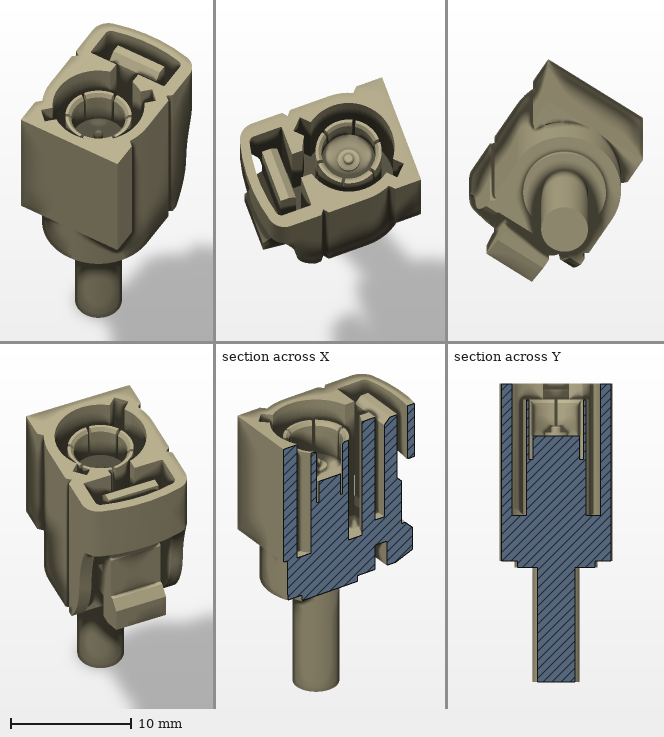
import cadquery as cq
import math

total_height = 24.78
flange_bottom = 9.52
housing_bottom = 10.05
front_block_bottom = 13.85
hood_bottom = 19.63
cavity_floor = front_block_bottom

width = 9.4
half_width = width / 2
hood_rear = 8.77
hood_arc_radius = 13.88
hood_corner_radius = 1.5
groove_y = 3.82
groove_half_opening = 0.35
groove_depth = 0.42
step_y = -1.98
block_side_end = -2.4
block_front = -half_width

hood_wall = 0.8
window_half_width = 3.6
window_front = 4.6
window_rear_corner_radius = 0.5
window_front_corner_radius = 0.12

relief_top = (7.35, hood_bottom)
relief_upper_middle = (6.65, 17.35)
relief_inflection = (6.32, 14.85)
relief_lower_middle = (5.8, 12.0)
relief_bottom = (4.7, housing_bottom)

latch_half_width = 2.25
latch_top = 24.28
latch_bevel = 0.6
latch_front_y = 5.5
latch_upper_rear_y = 6.85
latch_pad_rear_y = 7.29
latch_pad_top = 17.72
hook_ledge_y = 7.63
hook_ledge_z = 13.63
hook_rear_y = 8.4
hook_tip_z = 10.75
hook_bottom_rear_y = 6.67
latch_tail_front_y = 5.77
web_top = 14.87
web_bottom = 12.4

sleeve_diameter = 3.9
flange_radius = 3.45
bore_radius = 3.82
key_width = 1.3
key_reach = 4.75
key_angles = (45, 225)
latch_slot_width = 2.13

ring_outer_radius = 2.75
ring_lip_radius = 2.5
ring_inner_radius = 2.25
ring_top = 23.47
ring_bevel_height = 0.3
ring_slot_count = 6
ring_slot_width = 0.27
ring_slot_depth = 4.95
ring_slot_start_angle = 30

insulator_top = 20.5
collar_radius = 0.92
collar_height = 0.25
pin_radius = 0.4
pin_tip_radius = 0.3
pin_height = 0.75

clearance = 0.25


def arc_depth(radius, x):
    """Drop of an arc of the given radius at distance x from its crown."""
    return radius - math.sqrt(radius**2 - x**2)


def cylinder(radius, bottom, top):
    return cq.Workplane("XY").workplane(offset=bottom).circle(radius).extrude(top - bottom)


def make_housing():
    """Hooded body with a round front, plus the square block on the upper front."""
    step_x = math.sqrt(half_width**2 - step_y**2)
    hood_side_y = hood_rear - arc_depth(hood_arc_radius, half_width)
    body = (
        cq.Workplane("XY")
        .workplane(offset=housing_bottom)
        .moveTo(half_width, 0)
        .lineTo(half_width, hood_side_y)
        .threePointArc((0, hood_rear), (-half_width, hood_side_y))
        .lineTo(-half_width, 0)
        .threePointArc((0, -half_width), (half_width, 0))
        .close()
        .extrude(total_height - housing_bottom)
    )
    hood_corners = cq.selectors.BoxSelector(
        (-half_width - clearance, hood_side_y - clearance, housing_bottom),
        (half_width + clearance, hood_side_y + clearance, total_height),
    )
    body = body.edges("|Z").edges(hood_corners).fillet(hood_corner_radius)
    block = (
        cq.Workplane("XY")
        .workplane(offset=front_block_bottom)
        .polyline([
            (-step_x, step_y),
            (-half_width, block_side_end),
            (-half_width, block_front),
            (half_width, block_front),
            (half_width, block_side_end),
            (step_x, step_y),
        ])
        .close()
        .extrude(total_height - front_block_bottom)
    )
    return body.union(block)


def make_side_grooves():
    """V grooves running down both sides."""
    grooves = cq.Workplane("XY")
    for side in (-1, 1):
        groove = (
            cq.Workplane("XY")
            .workplane(offset=housing_bottom)
            .polyline([
                (side * half_width, groove_y - groove_half_opening),
                (side * (half_width - groove_depth), groove_y),
                (side * half_width, groove_y + groove_half_opening),
            ])
            .close()
            .extrude(total_height - housing_bottom)
        )
        grooves = grooves.union(groove)
    return grooves


def make_window():
    """Through opening behind the connector, following the curve of the hood."""
    inner_arc_radius = hood_arc_radius - hood_wall
    window_rear = hood_rear - hood_wall
    window_side_y = window_rear - arc_depth(inner_arc_radius, window_half_width)
    window = (
        cq.Workplane("XY")
        .workplane(offset=housing_bottom)
        .moveTo(-window_half_width, window_front)
        .lineTo(window_half_width, window_front)
        .lineTo(window_half_width, window_side_y)
        .threePointArc((0, window_rear), (-window_half_width, window_side_y))
        .close()
        .extrude(total_height - housing_bottom)
    )
    window = window.edges("|Z").edges(">Y").fillet(window_rear_corner_radius)
    return window.edges("|Z").edges("<Y").fillet(window_front_corner_radius)


def make_hood_relief():
    """Material removed below the hood, leaving S-curved side walls."""
    clear_y = hood_rear + clearance
    return (
        cq.Workplane("YZ")
        .moveTo(clear_y, hood_bottom)
        .lineTo(*relief_top)
        .threePointArc(relief_upper_middle, relief_inflection)
        .threePointArc(relief_lower_middle, relief_bottom)
        .lineTo(clear_y, housing_bottom)
        .close()
        .extrude(half_width + clearance, both=True)
    )


def make_latch():
    """Sprung latch with a hooked tail, joined to the housing by a web."""
    return (
        cq.Workplane("YZ")
        .polyline([
            (window_front, web_top),
            (latch_front_y, web_top),
            (latch_front_y, latch_top - latch_bevel),
            (latch_front_y + latch_bevel, latch_top),
            (latch_upper_rear_y, latch_top),
            (latch_upper_rear_y, latch_pad_top + latch_pad_rear_y - latch_upper_rear_y),
            (latch_pad_rear_y, latch_pad_top),
            (latch_pad_rear_y, hook_ledge_z),
            (hook_ledge_y, hook_ledge_z),
            (hook_rear_y, hook_ledge_z - hook_rear_y + hook_ledge_y),
            (hook_rear_y, hook_tip_z),
            (hook_bottom_rear_y, housing_bottom),
            (latch_tail_front_y, housing_bottom),
            (latch_tail_front_y, web_bottom),
            (window_front, web_bottom),
        ])
        .close()
        .extrude(latch_half_width, both=True)
    )


def make_cavity():
    """Round connector cavity with two diagonal keyways and a slot into the window."""
    depth = total_height - cavity_floor
    cavity = cylinder(bore_radius, cavity_floor, total_height)
    keyway = (
        cq.Workplane("XY")
        .workplane(offset=cavity_floor)
        .center(key_reach / 2, 0)
        .rect(key_reach, key_width)
        .extrude(depth)
    )
    for angle in key_angles:
        cavity = cavity.union(keyway.rotate((0, 0, 0), (0, 0, 1), angle))
    latch_slot = (
        cq.Workplane("XY")
        .workplane(offset=cavity_floor)
        .center(0, window_front / 2)
        .rect(latch_slot_width, window_front)
        .extrude(depth)
    )
    return cavity.union(latch_slot)


def make_contact_ring():
    """Outer contact: a bevelled tube split into spring fingers."""
    ring = (
        cq.Workplane("XZ")
        .polyline([
            (ring_inner_radius, cavity_floor),
            (ring_outer_radius, cavity_floor),
            (ring_outer_radius, ring_top),
            (ring_lip_radius, ring_top),
            (ring_inner_radius, ring_top - ring_bevel_height),
        ])
        .close()
        .revolve(360, (0, 0, 0), (0, 1, 0))
    )
    slot = (
        cq.Workplane("XY")
        .workplane(offset=ring_top - ring_slot_depth)
        .center(ring_outer_radius, 0)
        .rect(ring_outer_radius, ring_slot_width)
        .extrude(ring_slot_depth)
    )
    for index in range(ring_slot_count):
        angle = ring_slot_start_angle + index * 360 / ring_slot_count
        ring = ring.cut(slot.rotate((0, 0, 0), (0, 0, 1), angle))
    return ring


def make_insulator():
    """Insulator filling the bottom of the contact ring, with a low collar around the pin."""
    collar = cylinder(collar_radius, insulator_top, insulator_top + collar_height)
    return cylinder(ring_inner_radius, cavity_floor, insulator_top).union(collar)


def make_pin():
    """Centre contact with a chamfered tip."""
    pin = cylinder(pin_radius, insulator_top, insulator_top + pin_height)
    return pin.faces(">Z").chamfer(pin_radius - pin_tip_radius)


result = (
    make_housing()
    .cut(make_side_grooves())
    .cut(make_window())
    .cut(make_hood_relief())
    .cut(make_cavity())
    .union(make_latch())
    .union(make_contact_ring())
    .union(make_insulator())
    .union(make_pin())
    .union(cylinder(flange_radius, flange_bottom, housing_bottom))
    .union(cylinder(sleeve_diameter / 2, 0, flange_bottom))
)